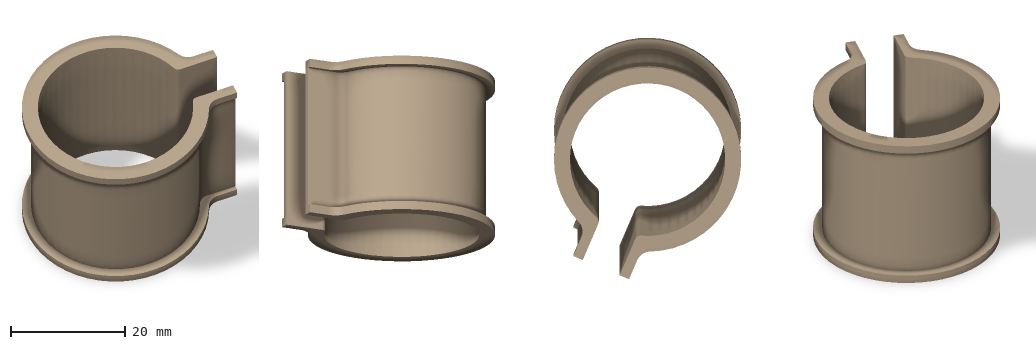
import cadquery as cq
import math

height = 28.0
bore_radius = 13.6
sleeve_wall = 1.2
flange_lip = 1.6
flange_thickness = 1.5
tab_end_y = 20.9

gap_half_width = 3.5
sleeve_tab_thickness = 1.0
flange_tab_thickness = 1.8
mouth_radius = 1.0
sleeve_root_radius = 2.0
flange_root_radius = 2.5

sleeve_radius = bore_radius + sleeve_wall
flange_radius = sleeve_radius + flange_lip


def blend_points(circle_radius, tab_face_x, blend_radius):
    """Start, middle and end of the arc joining a tab face at X = tab_face_x to a circle about the origin.

    The arc center lies outside the circle and on the +X side of the tab face.
    """
    center_x = tab_face_x + blend_radius
    center_distance = circle_radius + blend_radius
    center_y = math.sqrt(center_distance**2 - center_x**2)
    circle_angle = math.pi + math.atan2(center_y, center_x)
    middle_angle = (math.pi + circle_angle) / 2

    def on_blend(angle):
        return (center_x + blend_radius * math.cos(angle), center_y + blend_radius * math.sin(angle))

    return (tab_face_x, center_y), on_blend(middle_angle), on_blend(circle_angle)


def mirrored(point):
    return (-point[0], point[1])


def clamp_ring(outer_radius, tab_thickness, root_radius, ring_height):
    """Open ring with two parallel tabs, standing on the XY plane."""
    tab_outer_x = gap_half_width + tab_thickness
    root_tab, root_middle, root_ring = blend_points(outer_radius, tab_outer_x, root_radius)
    mouth_tab, mouth_middle, mouth_bore = blend_points(bore_radius, gap_half_width, mouth_radius)
    return (
        cq.Workplane("XY")
        .moveTo(gap_half_width, tab_end_y)
        .lineTo(tab_outer_x, tab_end_y)
        .lineTo(*root_tab)
        .threePointArc(root_middle, root_ring)
        .threePointArc((0, -outer_radius), mirrored(root_ring))
        .threePointArc(mirrored(root_middle), mirrored(root_tab))
        .lineTo(-tab_outer_x, tab_end_y)
        .lineTo(-gap_half_width, tab_end_y)
        .lineTo(*mirrored(mouth_tab))
        .threePointArc(mirrored(mouth_middle), mirrored(mouth_bore))
        .threePointArc((0, -bore_radius), mouth_bore)
        .threePointArc(mouth_middle, mouth_tab)
        .close()
        .extrude(ring_height)
    )


result = clamp_ring(sleeve_radius, sleeve_tab_thickness, sleeve_root_radius, height)
flange = clamp_ring(flange_radius, flange_tab_thickness, flange_root_radius, flange_thickness)
for flange_base_z in (0, height - flange_thickness):
    result = result.union(flange.translate((0, 0, flange_base_z)))